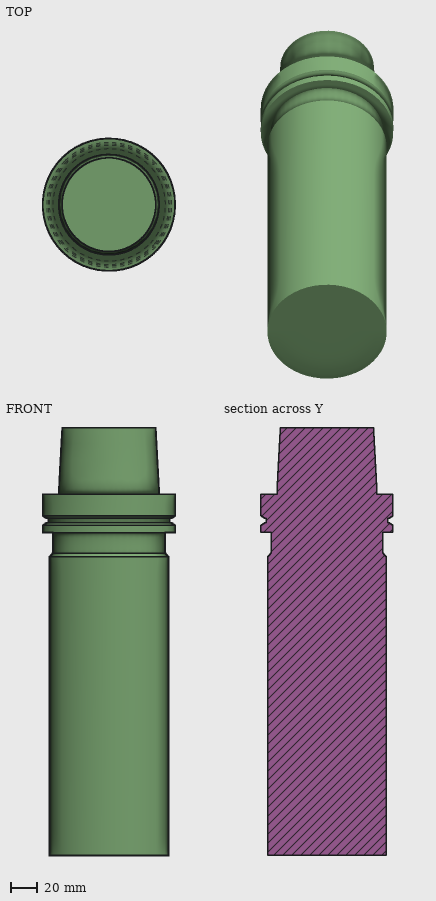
import cadquery as cq

total_length = 323.0
shank_length = 50.0
shank_collar_height = 2.0
flange_height = 29.0
groove_top_offset = 16.5
groove_opening = 7.0
groove_floor_width = 3.2
neck_length = 15.5
shoulder_height = 3.0

shank_top_diameter = 70.7
shank_base_diameter = 76.0
flange_diameter = 100.0
groove_mouth_diameter = 94.3
groove_diameter = 92.0
neck_diameter = 85.0
body_diameter = 90.0

flange_top = total_length - shank_length
flange_bottom = flange_top - flange_height
neck_bottom = flange_bottom - neck_length
body_top = neck_bottom - shoulder_height
collar_top = flange_top + shank_collar_height
groove_top = flange_top - groove_top_offset
groove_bottom = groove_top - groove_opening
groove_wall_height = (groove_opening - groove_floor_width) / 2


def revolve_profile(stations):
    """Solid of revolution about Z from (diameter, height) pairs, bottom to top."""
    outline = [(diameter / 2, height) for diameter, height in stations]
    axis_bottom = (0, stations[0][1])
    axis_top = (0, stations[-1][1])
    profile = cq.Workplane("XZ").polyline([axis_bottom] + outline + [axis_top]).close()
    return profile.revolve(360, (0, 0, 0), (0, 1, 0))


result = revolve_profile([
    (body_diameter, 0),
    (body_diameter, body_top),
    (neck_diameter, neck_bottom),
    (neck_diameter, flange_bottom),
    (flange_diameter, flange_bottom),
    (flange_diameter, groove_bottom),
    (groove_mouth_diameter, groove_bottom + groove_wall_height),
    (groove_diameter, groove_bottom + groove_wall_height),
    (groove_diameter, groove_top - groove_wall_height),
    (groove_mouth_diameter, groove_top - groove_wall_height),
    (flange_diameter, groove_top),
    (flange_diameter, flange_top),
    (shank_base_diameter, flange_top),
    (shank_base_diameter, collar_top),
    (shank_top_diameter, total_length),
])